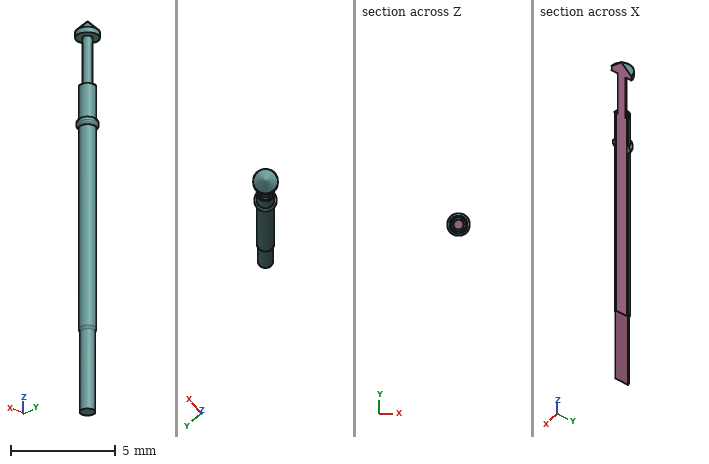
import cadquery as cq

overall_length = 21.05
barrel_top = 17.51
ring_middle = 15.5
barrel_bottom = 4.32
head_thickness = 0.3

head_diameter = 1.2
shaft_diameter = 0.48
piston_diameter = 0.67
bore_diameter = 0.7
barrel_diameter = 0.86
tail_diameter = 0.75
ring_diameter = 1.1

ring_height = 0.42
ring_arc_radius = 0.25
taper_height = 0.17

cone_height = head_diameter / 2
cone_base = overall_length - cone_height
head_bottom = cone_base - head_thickness
bore_bottom = barrel_bottom + taper_height


def revolve_about_z(profile):
    """Turn a closed (radius, height) profile around the Z axis."""
    return profile.close().revolve(360, (0, 0), (0, 1))


def make_plunger():
    """Pointed head and shaft on a piston that fills the barrel bore up to its rim."""
    profile = (
        cq.Workplane("XZ")
        .moveTo(0, bore_bottom)
        .lineTo(piston_diameter / 2, bore_bottom)
        .lineTo(piston_diameter / 2, barrel_top)
        .lineTo(shaft_diameter / 2, barrel_top)
        .lineTo(shaft_diameter / 2, head_bottom)
        .lineTo(head_diameter / 2, head_bottom)
        .lineTo(head_diameter / 2, cone_base)
        .lineTo(0, overall_length)
    )
    return revolve_about_z(profile)


def make_barrel():
    """Bored barrel with a rounded press ring and a solid tail."""
    barrel_radius = barrel_diameter / 2
    profile = (
        cq.Workplane("XZ")
        .lineTo(tail_diameter / 2, 0)
        .lineTo(tail_diameter / 2, barrel_bottom)
        .lineTo(barrel_radius, barrel_bottom + taper_height)
        .lineTo(barrel_radius, ring_middle - ring_height / 2)
        .radiusArc((ring_diameter / 2, ring_middle), -ring_arc_radius)
        .radiusArc((barrel_radius, ring_middle + ring_height / 2), -ring_arc_radius)
        .lineTo(barrel_radius, barrel_top)
        .lineTo(bore_diameter / 2, barrel_top)
        .lineTo(bore_diameter / 2, bore_bottom)
        .lineTo(0, bore_bottom)
    )
    return revolve_about_z(profile)


plunger = make_plunger()
barrel = make_barrel()
result = cq.Compound.makeCompound([plunger.val(), barrel.val()])